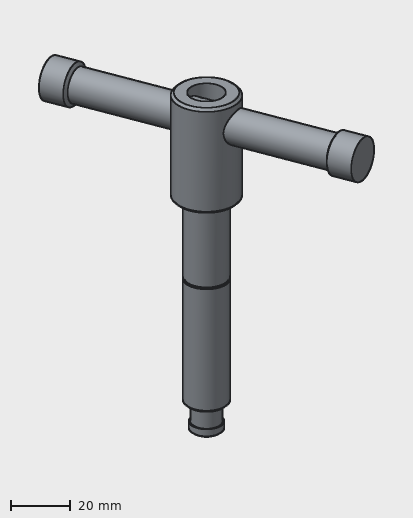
import cadquery as cq

TOTAL_HEIGHT = 130.0
HUB_DIAMETER = 24.0
HUB_HEIGHT = 40.0
HUB_CHAMFER = 1.0
SHANK_DIAMETER = 16.0
SHANK_BOTTOM_Z = 12.1
SHANK_CHAMFER = 1.0
NECK_DIAMETER = 10.9
COLLAR_DIAMETER = 12.0
COLLAR_TOP_Z = 5.0
DOME_HEIGHT = 2.3
GROOVE_TOP_Z = 60.0
GROOVE_WIDTH = 0.8
GROOVE_DEPTH = 0.6

HANDLE_LENGTH = 120.0
BAR_DIAMETER = 13.0
BAR_AXIS_DEPTH = 10.0
KNOB_DIAMETER = SHANK_DIAMETER
KNOB_LENGTH = 9.4
KNOB_TAPER_LENGTH = 0.9

BORE_DIAMETER = BAR_DIAMETER
BAR_AXIS_Z = TOTAL_HEIGHT - BAR_AXIS_DEPTH


def cylinder_up(diameter, bottom_z, top_z):
    """Cylinder on the Z axis between two heights."""
    return cq.Workplane("XY").workplane(offset=bottom_z).circle(diameter / 2).extrude(top_z - bottom_z)


def cylinder_along_x(diameter, length):
    """Cylinder on the handle axis, centred on the spindle."""
    return (
        cq.Workplane("YZ", origin=(-length / 2, 0, BAR_AXIS_Z))
        .circle(diameter / 2)
        .extrude(length)
    )


def make_hub():
    hub = cylinder_up(HUB_DIAMETER, TOTAL_HEIGHT - HUB_HEIGHT, TOTAL_HEIGHT)
    return hub.faces("<Z or >Z").chamfer(HUB_CHAMFER)


def make_shank():
    shank = cylinder_up(SHANK_DIAMETER, SHANK_BOTTOM_Z, TOTAL_HEIGHT - HUB_HEIGHT)
    shank = shank.faces("<Z").chamfer(SHANK_CHAMFER)
    groove_bottom_z = GROOVE_TOP_Z - GROOVE_WIDTH
    groove_ring = cylinder_up(SHANK_DIAMETER, groove_bottom_z, GROOVE_TOP_Z).cut(
        cylinder_up(SHANK_DIAMETER - 2 * GROOVE_DEPTH, groove_bottom_z, GROOVE_TOP_Z)
    )
    return shank.cut(groove_ring)


def make_tip():
    """Neck, collar and spherical dome, revolved as one profile."""
    neck_radius = NECK_DIAMETER / 2
    collar_radius = COLLAR_DIAMETER / 2
    dome_radius = (collar_radius**2 + DOME_HEIGHT**2) / (2 * DOME_HEIGHT)
    arc_mid_x = collar_radius / 2
    arc_mid_z = dome_radius - (dome_radius**2 - arc_mid_x**2) ** 0.5
    return (
        cq.Workplane("XZ")
        .moveTo(0, 0)
        .threePointArc((arc_mid_x, arc_mid_z), (collar_radius, DOME_HEIGHT))
        .lineTo(collar_radius, COLLAR_TOP_Z)
        .lineTo(neck_radius, COLLAR_TOP_Z)
        .lineTo(neck_radius, SHANK_BOTTOM_Z)
        .lineTo(0, SHANK_BOTTOM_Z)
        .close()
        .revolve(360, (0, 0, 0), (0, 1, 0))
    )


def make_spindle():
    spindle = make_hub().union(make_shank()).union(make_tip())
    spindle = spindle.cut(cylinder_along_x(BAR_DIAMETER, HUB_DIAMETER))
    return spindle.cut(cylinder_up(BORE_DIAMETER, BAR_AXIS_Z, TOTAL_HEIGHT))


def make_handle():
    """Bar and both knobs, revolved about the handle axis as one tapered profile."""
    half_length = HANDLE_LENGTH / 2
    knob_start = half_length - KNOB_LENGTH
    taper_start = knob_start - KNOB_TAPER_LENGTH
    bar_radius = BAR_DIAMETER / 2
    knob_radius = KNOB_DIAMETER / 2
    return (
        cq.Workplane("XZ", origin=(0, 0, BAR_AXIS_Z))
        .moveTo(-half_length, 0)
        .lineTo(-half_length, knob_radius)
        .lineTo(-knob_start, knob_radius)
        .lineTo(-taper_start, bar_radius)
        .lineTo(taper_start, bar_radius)
        .lineTo(knob_start, knob_radius)
        .lineTo(half_length, knob_radius)
        .lineTo(half_length, 0)
        .close()
        .revolve(360, (0, 0, 0), (1, 0, 0))
    )


spindle = make_spindle()
handle = make_handle()

result = cq.Compound.makeCompound([spindle.val(), handle.val()])